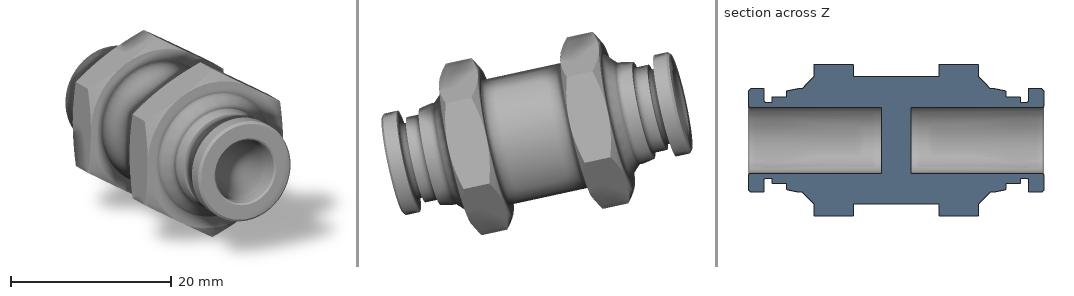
import cadquery as cq
import math

length = 37.0
half_length = length / 2

collar_end = 2.0
neck_end = 2.95
sleeve_end = 4.77
taper_end = 6.2
cone_start = 6.75
nut_start = 8.2

body_diameter = 16.0
collar_diameter = 13.0
neck_diameter = 9.6
sleeve_diameter = 10.9
taper_small_diameter = 12.4
collar_chamfer = 0.3
neck_root_chamfer = 0.1

bore_diameter = 8.2
bore_depth = 16.65
bore_chamfer = 0.22

nut_across_flats = 19.0
nut_width = 5.0
nut_chamfer_angle = 30.0


def turned(profile):
    """Revolve (distance from the -X end face, radius) points about X."""
    points = [(distance - half_length, radius) for distance, radius in profile]
    return cq.Workplane("XY").polyline(points).close().revolve(360, (0, 0), (1, 0))


def body_half():
    """Half of the body, from the -X end face to the middle."""
    body_radius = body_diameter / 2
    collar_radius = collar_diameter / 2
    neck_radius = neck_diameter / 2
    sleeve_radius = sleeve_diameter / 2
    return turned([
        (0, 0),
        (0, collar_radius - collar_chamfer),
        (collar_chamfer, collar_radius),
        (collar_end, collar_radius),
        (collar_end, neck_radius + neck_root_chamfer),
        (collar_end + neck_root_chamfer, neck_radius),
        (neck_end, neck_radius),
        (neck_end, sleeve_radius),
        (sleeve_end, sleeve_radius),
        (sleeve_end, taper_small_diameter / 2),
        (taper_end, collar_radius),
        (cone_start, collar_radius),
        (nut_start, body_radius),
        (half_length, body_radius),
        (half_length, 0),
    ])


def nut():
    """Hexagonal nut of the -X half, its corners turned down on both faces."""
    face_radius = nut_across_flats / 2
    corner_radius = nut_across_flats / math.sqrt(3)
    corner_setback = (corner_radius - face_radius) * math.tan(math.radians(nut_chamfer_angle))
    nut_end = nut_start + nut_width

    hexagon = (
        cq.Workplane("YZ", origin=(nut_start - half_length, 0, 0))
        .transformed(rotate=(0, 0, 90))
        .polygon(6, 2 * corner_radius)
        .extrude(nut_width)
    )
    chamfered_blank = turned([
        (nut_start, 0),
        (nut_start, face_radius),
        (nut_start + corner_setback, corner_radius),
        (nut_end - corner_setback, corner_radius),
        (nut_end, face_radius),
        (nut_end, 0),
    ])
    return hexagon.intersect(chamfered_blank)


def socket():
    """Blind bore in the -X end, chamfered at its mouth."""
    bore_radius = bore_diameter / 2
    return turned([
        (0, 0),
        (0, bore_radius + bore_chamfer),
        (bore_chamfer, bore_radius),
        (bore_depth, bore_radius),
        (bore_depth, 0),
    ])


end_half = body_half().union(nut()).cut(socket())
result = end_half.union(end_half.mirror("YZ"))